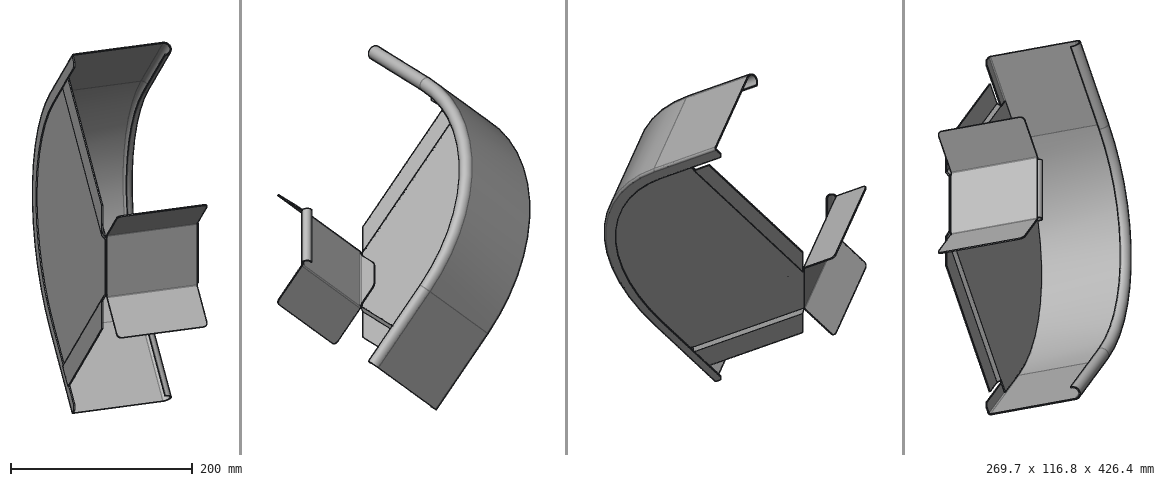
import cadquery as cq
import math


sheet = 1.5
bend_angle = 90.0
diagonal = math.sqrt(0.5)
run_dir = cq.Vector(diagonal, 0, diagonal)
reach_dir = cq.Vector(-diagonal, 0, diagonal)
bend_radius = 2.75

outer_radius = 200.0
outer_straight = 101.5
outer_height = 114.5
outer_flange = 14.0
outer_lip_radius = 8.0
flange_corner = 4.0
lip_tip_level = 105.5

plate_bottom = sheet
plate_top = plate_bottom + sheet
plate_radius = outer_radius - bend_radius
plate_edge = 34.5
joggle_start = 47.5
joggle_run = 4.5
joggle_drop = 3.75
tab_end = 76.0
tab_reach = 182.5

web_back = plate_edge
web_half_length = 34.5
inner_bottom = plate_top
inner_top = outer_height - sheet
inner_flange = 20.0
inner_flange_round = 10.0
inner_lip_radius = 5.75
leg_back = 1.36
leg_end = 100.0
leg_bottom = 4.25
leg_top = 109.75
leg_corner = 5.0


def flat_plane(height):
    """Plane for XZ outlines at a height: local x is Z, local y is X, extruding towards +Y."""
    return cq.Plane(origin=(0, height, 0), xDir=(0, 0, 1), normal=(0, 1, 0))


def end_point(run, reach):
    """Point of an XZ outline at the upper end, as (Z, X)."""
    return ((run + reach) * diagonal, (run - reach) * diagonal)


def mirrored(point):
    """The same outline point at the lower end."""
    return (-point[0], point[1])


def both_ends(body):
    return body.union(body.mirror("XY"))


def wall_section(plane, back, side, bottom, top, flange, lip_radius):
    """Closed wall section: flange, bend, upright web and half-round lip, all turned to one side."""

    def at(depth, height):
        return (back + side * depth, height)

    bend_mid = bend_radius * (1 - diagonal)
    bend_mid_inside = bend_radius - (bend_radius - sheet) * diagonal
    lip_base = top - lip_radius
    lip_width = 2 * lip_radius
    return (
        cq.Workplane(plane)
        .moveTo(*at(flange, bottom))
        .lineTo(*at(bend_radius, bottom))
        .threePointArc(at(bend_mid, bottom + bend_mid), at(0, bottom + bend_radius))
        .lineTo(*at(0, lip_base))
        .threePointArc(at(lip_radius, top), at(lip_width, lip_base))
        .lineTo(*at(lip_width, lip_tip_level))
        .lineTo(*at(lip_width - sheet, lip_tip_level))
        .lineTo(*at(lip_width - sheet, lip_base))
        .threePointArc(at(lip_radius, top - sheet), at(sheet, lip_base))
        .lineTo(*at(sheet, bottom + bend_radius))
        .threePointArc(
            at(bend_mid_inside, bottom + bend_mid_inside),
            at(bend_radius, bottom + sheet),
        )
        .lineTo(*at(flange, bottom + sheet))
        .close()
    )



def outer_section():
    end_plane = cq.Plane(origin=(0, 0, 0), xDir=-reach_dir, normal=run_dir)
    return wall_section(
        end_plane, -outer_radius, 1, 0, outer_height, outer_flange, outer_lip_radius
    )


def make_outer_wall():
    curve = outer_section().revolve(bend_angle, (0, 1), (0, 0))
    straight = outer_section().extrude(outer_straight)
    flange_tip = outer_radius - outer_flange
    corner = (
        cq.Workplane(flat_plane(0))
        .polyline([
            end_point(outer_straight, flange_tip),
            end_point(outer_straight, flange_tip + flange_corner),
            end_point(outer_straight - flange_corner, flange_tip),
        ])
        .close()
        .extrude(sheet)
    )
    return curve.union(both_ends(straight.cut(corner)))



def make_floor_field():
    """Flat middle of the floor, up to where the tabs step down."""
    arc_end = end_point(0, plate_radius)
    outer_corner = end_point(joggle_start, plate_radius)
    inner_corner = (joggle_start / diagonal - plate_edge, plate_edge)
    return (
        cq.Workplane(flat_plane(plate_bottom))
        .moveTo(*inner_corner)
        .lineTo(*outer_corner)
        .lineTo(*arc_end)
        .threePointArc((0, -plate_radius), mirrored(arc_end))
        .lineTo(*mirrored(outer_corner))
        .lineTo(*mirrored(inner_corner))
        .close()
        .extrude(sheet)
    )


def make_tab():
    """Joggled tab at the upper end, cut off in line with the floor's straight edge."""
    ramp_end = joggle_start + joggle_run
    ramp_shift = sheet / 2
    overlap = sheet
    tab_plane = cq.Plane(origin=reach_dir * tab_reach, xDir=-run_dir, normal=-reach_dir)
    strip = (
        cq.Workplane(tab_plane)
        .polyline([
            (-(joggle_start - overlap), plate_bottom),
            (-joggle_start, plate_bottom),
            (-(ramp_end - ramp_shift), plate_bottom - joggle_drop),
            (-tab_end, plate_bottom - joggle_drop),
            (-tab_end, plate_top - joggle_drop),
            (-ramp_end, plate_top - joggle_drop),
            (-(joggle_start + ramp_shift), plate_top),
            (-(joggle_start - overlap), plate_top),
        ])
        .close()
        .extrude(tab_reach + tab_end)
    )
    waste_size = 2 * outer_radius
    waste = (
        cq.Workplane("XY")
        .box(waste_size, waste_size, waste_size, centered=(False, True, True))
        .translate((plate_edge, 0, 0))
    )
    return strip.cut(waste)


def make_floor_plate():
    return make_floor_field().union(both_ends(make_tab()))



def make_web():
    """Upright web with its lip and its flange, whose ends taper at 45 degrees to a rounded tip."""
    web = wall_section(
        "XY", web_back, -1, inner_bottom, inner_top, inner_flange, inner_lip_radius
    ).extrude(web_half_length, both=True)
    tip = web_back - inner_flange
    tip_corner = (web_half_length - inner_flange, tip)
    root_corner = (web_half_length, web_back)
    tapered = (
        cq.Workplane(flat_plane(inner_bottom))
        .polyline([root_corner, tip_corner, mirrored(tip_corner), mirrored(root_corner)])
        .close()
        .extrude(sheet)
        .edges("|Y and <X")
        .fillet(inner_flange_round)
    )
    full_flange = (
        cq.Workplane("XY")
        .box(inner_flange - bend_radius, sheet, 2 * web_half_length, centered=(False, False, True))
        .translate((tip, inner_bottom, 0))
    )
    return web.cut(full_flange.cut(tapered))


def make_leg_strip():
    """Upright strip: the web's middle height with a leg bent off 45 degrees at each end."""
    web_front = web_back - sheet
    leg_front = leg_back + sheet
    bend_back = (web_back + leg_back / diagonal, web_back)
    bend_front = (web_front + leg_front / diagonal, web_front)
    upper_outline = [
        bend_back,
        end_point(leg_end, leg_back),
        end_point(leg_end, leg_front),
        bend_front,
    ]
    lower_outline = [mirrored(point) for point in reversed(upper_outline)]
    strip = (
        cq.Workplane(flat_plane(leg_bottom))
        .polyline(upper_outline + lower_outline)
        .close()
        .extrude(leg_top - leg_bottom)
    )
    strip = strip.edges("|Y and <X").fillet(bend_radius)
    for z in (bend_back[0], -bend_back[0]):
        bend_edge = cq.selectors.NearestToPointSelector((web_back, (leg_bottom + leg_top) / 2, z))
        strip = strip.edges("|Y").edges(bend_edge).fillet(bend_radius - sheet)
    for thickness_dir in (reach_dir, run_dir):
        leg_corners = cq.selectors.ParallelDirSelector(thickness_dir)
        strip = strip.edges(leg_corners).edges(">X").fillet(leg_corner)
    return strip


def make_inner_wall():
    return make_web().union(make_leg_strip())


outer_wall = make_outer_wall()
floor_plate = make_floor_plate()
inner_wall = make_inner_wall()
result = cq.Compound.makeCompound([outer_wall.val(), floor_plate.val(), inner_wall.val()])